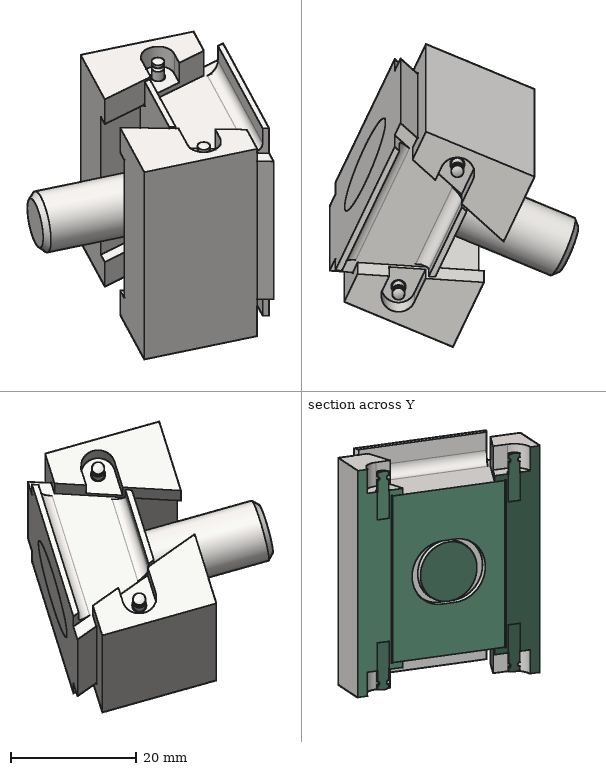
import cadquery as cq
import math

height = 38.0
overall_width = 32.0
overall_depth = 35.5
taper = math.tan(math.radians(20.0))

jaw_depth = 19.0
lip_height = 5.0
lip_half_gap = 3.85
lip_overhang = 2.0
web_height = height - 2 * lip_height
recess_half_gap = lip_half_gap + lip_overhang

pocket_x = 11.5
pocket_y = 11.5
pocket_radius = 2.75
pocket_depth = 4.0

bolt_projection = 13.0
shank_diameter = 10.0
tip_chamfer = 1.0
head_diameter = 16.0
head_length = 10.0

wedge_depth = 15.0
wedge_back = overall_depth - bolt_projection
wedge_front = wedge_back - wedge_depth
head_seat = wedge_back - head_length
flange_thickness = 1.0
flange_fillet = 2.0
flange_inset = 2.28
side_clearance = 0.15
slot_width = 10.5
slot_travel = 2.28

pin_diameter = 2.0
countersink_diameter = 2.3
pin_setback = 0.7
pin_length = 7.98
dome_height = 0.2
head_height = 0.85
groove_radius = 0.35


def wedge_prism(front_half_width, y_front, y_back, z_size):
    """Symmetric trapezoid that widens toward +Y; front_half_width is taken at y_front."""
    back_half_width = front_half_width + taper * (y_back - y_front)
    return (
        cq.Workplane("XY")
        .moveTo(-front_half_width, y_front)
        .lineTo(front_half_width, y_front)
        .lineTo(back_half_width, y_back)
        .lineTo(-back_half_width, y_back)
        .close()
        .extrude(z_size / 2, both=True)
    )


def make_jaw(side):
    """One jaw: side is +1 for the +X jaw and -1 for the -X jaw."""
    half_width = overall_width / 2
    jaw = cq.Workplane("XY").box(half_width, jaw_depth, height).translate(
        (side * half_width / 2, jaw_depth / 2, 0)
    )
    jaw = jaw.cut(wedge_prism(lip_half_gap, 0, jaw_depth, height))
    jaw = jaw.cut(wedge_prism(recess_half_gap, 0, jaw_depth, web_height))
    for end in (1, -1):
        jaw = jaw.cut(make_pocket(side, end))
        jaw = jaw.cut(make_pin_hole(side, end))
    return jaw


def make_pocket(side, end):
    """Round-ended pocket in a jaw end, open toward the dovetail."""
    z_centre = end * (height - pocket_depth) / 2
    round_end = cq.Workplane("XY").circle(pocket_radius).extrude(pocket_depth / 2, both=True)
    channel = cq.Workplane("XY").box(pocket_x, 2 * pocket_radius, pocket_depth).translate(
        (-side * pocket_x / 2, 0, 0)
    )
    return round_end.union(channel).translate((side * pocket_x, pocket_y, z_centre))


def place_at_pin(shape, side, end):
    """Move a shape built downward from Z = 0 so that its top becomes the top of a pin."""
    if end < 0:
        shape = shape.mirror("XY")
    return shape.translate((side * pocket_x, pocket_y, end * (height / 2 - pin_setback)))


def make_pin_hole(side, end):
    """Blind hole that fits the pin, with a 45 degree countersink at the pocket floor."""
    countersink_depth = (countersink_diameter - pin_diameter) / 2
    floor_z = pin_setback - pocket_depth
    hole = cq.Workplane("XY").circle(pin_diameter / 2).extrude(-pin_length)
    countersink = (
        cq.Workplane("XY", origin=(0, 0, floor_z))
        .circle(countersink_diameter / 2)
        .extrude(-countersink_depth, taper=45)
    )
    return place_at_pin(hole.union(countersink), side, end)


def make_pin(side, end):
    """Domed pin with a half-round groove under its head, standing in a jaw pocket."""
    radius = pin_diameter / 2
    dome_radius = (radius**2 + dome_height**2) / (2 * dome_height)
    dome_mid_x = radius / 2
    dome_mid_z = math.sqrt(dome_radius**2 - dome_mid_x**2) - dome_radius
    groove_z = -head_height - groove_radius
    pin = (
        cq.Workplane("XZ")
        .moveTo(0, 0)
        .threePointArc((dome_mid_x, dome_mid_z), (radius, -dome_height))
        .lineTo(radius, groove_z + groove_radius)
        .threePointArc((radius - groove_radius, groove_z), (radius, groove_z - groove_radius))
        .lineTo(radius, -pin_length)
        .lineTo(0, -pin_length)
        .close()
        .revolve(360, (0, 0, 0), (0, 1, 0))
    )
    return place_at_pin(pin, side, end)


def make_wedge():
    """Tapered clamping wedge: wide web with narrower full-height flanges front and back."""
    web_front_half = recess_half_gap + taper * wedge_front - side_clearance
    web = wedge_prism(web_front_half, wedge_front, wedge_back, web_height)
    flanged = wedge_prism(web_front_half - flange_inset, wedge_front, wedge_back, height)
    for end in (1, -1):
        flanged = flanged.cut(make_flange_gap(end))
    slot = (
        cq.Workplane("XZ", origin=(0, wedge_back, 0))
        .slot2D(slot_travel + slot_width, slot_width)
        .extrude(wedge_depth)
    )
    counterbore = y_cylinder(head_diameter, head_seat, wedge_back)
    return web.union(flanged).cut(slot).cut(counterbore)


def make_flange_gap(end):
    """Space between the flanges beyond the web, rounded where it meets each flange root."""
    gap_depth = wedge_depth - 2 * flange_thickness
    gap_height = lip_height + flange_fillet
    gap = cq.Workplane("XY").box(overall_width, gap_depth, gap_height)
    gap = gap.edges("|X and <Z" if end > 0 else "|X and >Z").fillet(flange_fillet)
    z_centre = end * (web_height + gap_height) / 2
    return gap.translate((0, (wedge_front + wedge_back) / 2, z_centre))


def y_cylinder(diameter, y_start, y_end):
    """Cylinder on the bolt axis between two Y positions."""
    return cq.Workplane("XZ", origin=(0, y_end, 0)).circle(diameter / 2).extrude(y_end - y_start)


def make_bolt():
    """Cylinder-head bolt with a chamfered tip pointing to -Y, head flush with the wedge back."""
    shank = y_cylinder(shank_diameter, -bolt_projection, head_seat).faces("<Y").chamfer(tip_chamfer)
    head = y_cylinder(head_diameter, head_seat, wedge_back)
    return shank.union(head)


wedge = make_wedge()
bolt = make_bolt()
jaws = [make_jaw(side) for side in (1, -1)]
pins = [make_pin(side, end) for side in (1, -1) for end in (1, -1)]

result = cq.Compound.makeCompound(
    [wedge.val(), bolt.val(), *[jaw.val() for jaw in jaws], *[pin.val() for pin in pins]]
)